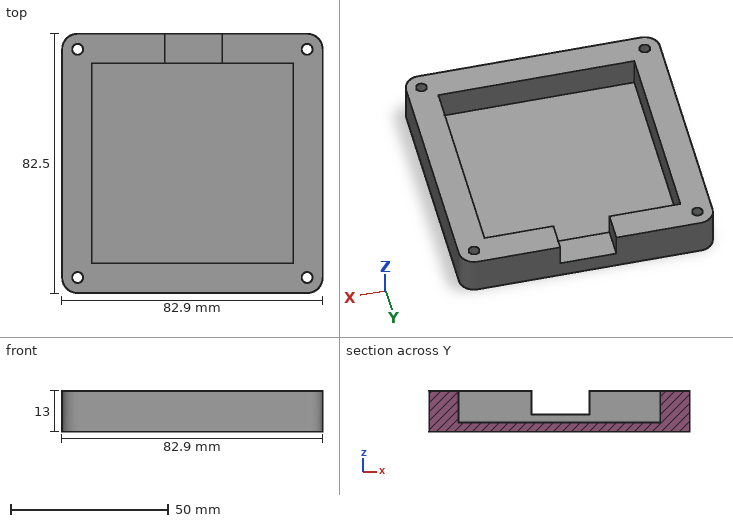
import cadquery as cq

length = 82.9
width = 82.5
height = 13.0
corner_radius = 5.0

wall = 9.45
pocket_length = length - 2 * wall
pocket_width = width - 2 * wall
pocket_depth = 10.0

notch_width = 18.3
notch_depth = 7.5
notch_offset = 0.3

hole_diameter = 3.4
hole_spacing_x = length - 2 * corner_radius
hole_spacing_y = width - 2 * corner_radius


def make_block():
    """Block standing on Z = 0 with rounded vertical edges."""
    block = cq.Workplane("XY").box(length, width, height, centered=(True, True, False))
    return block.edges("|Z").fillet(corner_radius)


def cut_pocket(body):
    """Sink the rectangular pocket from the top face."""
    pocket = cq.Workplane("XY").box(
        pocket_length, pocket_width, pocket_depth, centered=(True, True, False)
    )
    return body.cut(pocket.translate((0, 0, height - pocket_depth)))


def cut_notch(body):
    """Open the +Y wall from the pocket to the outside."""
    notch = cq.Workplane("XY").box(
        notch_width, wall, notch_depth, centered=(True, False, False)
    )
    return body.cut(notch.translate((notch_offset, pocket_width / 2, height - notch_depth)))


def cut_screw_holes(body):
    """Drill the four corner holes through the full height."""
    holes = (
        cq.Workplane("XY")
        .rect(hole_spacing_x, hole_spacing_y, forConstruction=True)
        .vertices()
        .circle(hole_diameter / 2)
        .extrude(height)
    )
    return body.cut(holes)


result = cut_screw_holes(cut_notch(cut_pocket(make_block())))